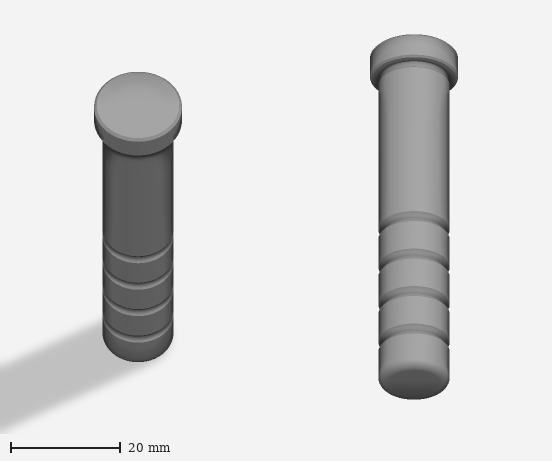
import cadquery as cq

length = 70.0
head_diameter = 16.0
head_height = 5.0
shank_diameter = 13.0

head_top_chamfer = 0.5
head_bottom_chamfer = 0.35
neck_diameter = 12.6
neck_length = 1.2

tip_radius = 1.55

groove_count = 4
groove_pitch = 8.0
groove_half_height = 1.05
groove_depth = 0.6
groove_flank_depth = 0.4

head_bottom_z = length - head_height
neck_bottom_z = head_bottom_z - neck_length
shank_radius = shank_diameter / 2
shoulder_chamfer = (shank_diameter - neck_diameter) / 2


def make_head():
    head = (
        cq.Workplane("XY", origin=(0, 0, head_bottom_z))
        .circle(head_diameter / 2)
        .extrude(head_height)
    )
    head = head.faces(">Z").edges().chamfer(head_top_chamfer)
    return head.faces("<Z").edges().chamfer(head_bottom_chamfer)


def make_shank():
    shank = cq.Workplane("XY").circle(shank_radius).extrude(neck_bottom_z)
    shank = shank.faces(">Z").edges().chamfer(shoulder_chamfer)
    return shank.faces("<Z").edges().fillet(tip_radius)


def make_neck():
    return (
        cq.Workplane("XY", origin=(0, 0, neck_bottom_z))
        .circle(neck_diameter / 2)
        .extrude(neck_length)
    )


def make_groove_cutter(middle_z):
    """Ring whose section is two mirrored concave arcs meeting at the groove root."""
    root_radius = shank_radius - groove_depth
    flank_radius = shank_radius - groove_flank_depth
    flank_offset = groove_half_height / 2
    return (
        cq.Workplane("XZ")
        .moveTo(shank_radius, middle_z - groove_half_height)
        .threePointArc((flank_radius, middle_z - flank_offset), (root_radius, middle_z))
        .threePointArc(
            (flank_radius, middle_z + flank_offset),
            (shank_radius, middle_z + groove_half_height),
        )
        .close()
        .revolve(360, (0, 0, 0), (0, 1, 0))
    )


result = make_shank().union(make_neck()).union(make_head())
for groove_number in range(1, groove_count + 1):
    result = result.cut(make_groove_cutter(groove_number * groove_pitch))